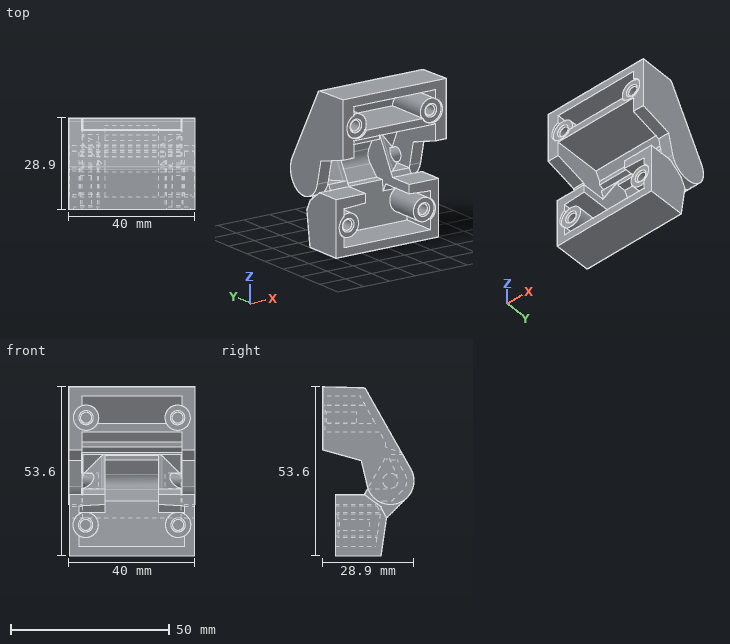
import cadquery as cq
import math


def tilt_vector(angle):
    """Unit vector in the YZ plane, as (y, z), raised by angle degrees from +Y toward +Z."""
    return math.cos(math.radians(angle)), math.sin(math.radians(angle))


def along(point, direction, distance):
    """Point reached by moving a distance from a (y, z) point."""
    return point[0] + distance * direction[0], point[1] + distance * direction[1]


def at_height(point, direction, z):
    """Point at height z on the (y, z) line through a point."""
    return along(point, direction, (z - point[1]) / direction[1])


def prism(outline, x_start, x_end):
    """Extrude a closed YZ outline along X between two stations."""
    return outline.extrude(x_end - x_start).translate((x_start, 0, 0))


def symmetric_prism(points, width):
    """Prism of a YZ polygon, centred on X = 0."""
    return prism(cq.Workplane("YZ").polyline(points).close(), -width / 2, width / 2)


barrel_radius = 7.5
back_tilt = 29.5
back_normal = tilt_vector(back_tilt)
back_slope = tilt_vector(90 + back_tilt)
back_tangent = along((0, 0), back_normal, barrel_radius)
inner_tilt = 28.7
inner_slope = tilt_vector(90 + inner_tilt)
pin_radius = 2.4
pin_end = 10.5

boss_radius = 4.0
boss_recess = 0.75
screw_hole_radius = 1.75
screw_hole_depth = 10.0
screw_hole_chamfer = 0.5

upper_width = 40.0
upper_front = -21.4
upper_top = 29.75
upper_face_height = 20.0
upper_bottom = upper_top - upper_face_height
upper_top_draft = 1.3
upper_corner_radius = 1.1
arm_corner = (-9.23, 6.35)
upper_cavity_width = 31.55
upper_frame = 3.0
upper_ceiling = upper_top - upper_frame
upper_wall_thickness = 3.0
upper_boss_spacing = 28.95
upper_boss_z = 19.95
rib_top = 18.07
rib_bottom = 15.43
wall_foot_top = 12.19
wall_foot_bottom = 10.66
wall_end_z = 8.8

lower_width = 39.6
lower_front = -17.35
lower_bottom = -23.8
lower_shelf = -4.35
lower_back_z = -11.8
lower_base_y = -2.93
lower_frame = 3.0
lower_wall_thickness = 2.15
lower_pocket_width = 33.35
lower_boss_spacing = 29.25
lower_boss_z = -13.95
arm_relief_edge = (-3.1, -8.1)
ledge_bottom_back = -10.1
ledge_bottom_inner = -7.46
ledge_bottom_outer = -7.95
ledge_gusset_tilt = 27.5

knuckle_width = 31.2
knuckle_top = 8.36
knuckle_foot = (-8.27, lower_shelf)
under_angle = 45.0
knuckle_front_tilt = 30.0
front_slope = tilt_vector(90 - knuckle_front_tilt)
channel_width = 16.9
channel_radius = 4.0
seat_center = (1.2, 0)
nose_bottom = 6.52
nose_top = 8.04
channel_step_z = -6.44

ramp_angle = 42.0
ramp_start = 9.6
recess_floor_z = -2.65
recess_roof_tilt = 25.0


def bosses(spacing, z, front, back):
    """A pair of round bosses running along Y."""
    return (
        cq.Workplane("XZ", origin=(0, back, z))
        .pushPoints([(-spacing / 2, 0), (spacing / 2, 0)])
        .circle(boss_radius)
        .extrude(back - front)
    )


def finish_bosses(leaf, spacing, z, front):
    """Sink the boss ends below the front face and drill chamfered blind holes in them."""
    boss_end = front + boss_recess
    for x in (-spacing / 2, spacing / 2):
        face = cq.Workplane("XZ", origin=(x, boss_end, z))
        hole = face.circle(screw_hole_radius).extrude(-screw_hole_depth)
        countersink = (
            face.circle(screw_hole_radius + screw_hole_chamfer)
            .workplane(offset=-screw_hole_chamfer)
            .circle(screw_hole_radius)
            .loft()
        )
        leaf = leaf.cut(face.circle(boss_radius).extrude(boss_recess)).cut(hole).cut(countersink)
    return leaf


def pins(outer):
    """Two coaxial pins, one at each end of the knuckle."""
    left = cq.Workplane("YZ", origin=(-outer, 0, 0)).circle(pin_radius).extrude(outer - pin_end)
    right = cq.Workplane("YZ", origin=(pin_end, 0, 0)).circle(pin_radius).extrude(outer - pin_end)
    return left, right


def upper_body():
    """Full-width side profile: front block, leaning back face and round arm ends."""
    corner_distance = math.hypot(*arm_corner)
    corner_angle = math.degrees(math.atan2(arm_corner[1], arm_corner[0]))
    tangent_angle = corner_angle + math.degrees(math.acos(barrel_radius / corner_distance))
    arm_tangent = along((0, 0), tilt_vector(tangent_angle), barrel_radius)
    top_slope = tilt_vector(-upper_top_draft)
    run = (
        (back_tangent[0] - upper_front) * top_slope[1] + (upper_top - back_tangent[1]) * top_slope[0]
    ) / (back_slope[1] * top_slope[0] - back_slope[0] * top_slope[1])
    top_corner = along(back_tangent, back_slope, run)
    outline = (
        cq.Workplane("YZ")
        .moveTo(upper_front, upper_top)
        .lineTo(*top_corner)
        .lineTo(*back_tangent)
        .threePointArc((0, -barrel_radius), arm_tangent)
        .lineTo(*arm_corner)
        .lineTo(upper_front, upper_bottom)
        .close()
    )
    body = prism(outline, -upper_width / 2, upper_width / 2)
    corner_edge = cq.selectors.NearestToPointSelector((0, *top_corner))
    return body.edges(corner_edge).fillet(upper_corner_radius)


def upper_cavity():
    """Space between the arms, open to the front and down past the end of the back wall."""
    wall_point = along(back_tangent, back_normal, -upper_wall_thickness)
    foot_top = at_height(wall_point, inner_slope, wall_foot_top)
    wall_end = at_height(back_tangent, back_slope, wall_end_z)
    clear = 2 * barrel_radius
    return symmetric_prism(
        [
            (upper_front, upper_ceiling),
            at_height(wall_point, inner_slope, upper_ceiling),
            foot_top,
            (foot_top[0], wall_foot_bottom),
            wall_end,
            (clear, wall_end_z),
            (clear, -clear),
            (upper_front, -clear),
        ],
        upper_cavity_width,
    )


def make_upper_leaf():
    body = upper_body()
    rib = symmetric_prism(
        [(upper_front, rib_bottom), (upper_front, rib_top), (0, rib_top), (0, rib_bottom)],
        upper_cavity_width,
    )
    boss_pair = bosses(upper_boss_spacing, upper_boss_z, upper_front, back_tangent[0])
    inside = rib.union(boss_pair).intersect(body)
    leaf = body.cut(upper_cavity()).union(inside)
    leaf = finish_bosses(leaf, upper_boss_spacing, upper_boss_z, upper_front)
    for pin in pins(upper_width / 2):
        leaf = leaf.union(pin)
    return leaf


under_tangent = along((0, 0), tilt_vector(-under_angle), barrel_radius)
lower_back = at_height(under_tangent, tilt_vector(90 - under_angle), lower_back_z)
lower_base = (lower_base_y, lower_bottom)
lower_back_length = math.dist(lower_back, lower_base)
lower_back_slope = (
    (lower_back[0] - lower_base[0]) / lower_back_length,
    (lower_back[1] - lower_base[1]) / lower_back_length,
)
lower_wall_point = along(lower_back, (-lower_back_slope[1], lower_back_slope[0]), lower_wall_thickness)
knuckle_tip = at_height(knuckle_foot, front_slope, knuckle_top)


def lower_block():
    return symmetric_prism(
        [
            (lower_front, lower_bottom),
            lower_base,
            lower_back,
            arm_relief_edge,
            knuckle_foot,
            (lower_front, lower_shelf),
        ],
        lower_width,
    )


def knuckle():
    """Barrel between the arms, carried up flush with the back of the upper leaf."""
    outline = (
        cq.Workplane("YZ")
        .moveTo(*knuckle_foot)
        .lineTo(*knuckle_tip)
        .lineTo(*at_height(back_tangent, back_slope, knuckle_top))
        .lineTo(*back_tangent)
        .threePointArc((barrel_radius, 0), under_tangent)
        .lineTo(*lower_back)
        .lineTo(*arm_relief_edge)
        .close()
    )
    return prism(outline, -knuckle_width / 2, knuckle_width / 2)


def channel():
    """Central channel with a round seat, open to the front."""
    roof_tangent = along(seat_center, tilt_vector(inner_tilt), channel_radius)
    seat_middle = along(seat_center, tilt_vector(0), channel_radius)
    ramp_tangent = along(seat_center, tilt_vector(-under_angle), channel_radius)
    nose_y = at_height(knuckle_foot, front_slope, nose_top)[0]
    outline = (
        cq.Workplane("YZ")
        .moveTo(lower_front, nose_top)
        .lineTo(nose_y, nose_top)
        .lineTo(nose_y, nose_bottom)
        .lineTo(*at_height(roof_tangent, inner_slope, nose_bottom))
        .lineTo(*roof_tangent)
        .threePointArc(seat_middle, ramp_tangent)
        .lineTo(*at_height(ramp_tangent, tilt_vector(90 - under_angle), channel_step_z))
        .lineTo(*at_height(lower_wall_point, lower_back_slope, channel_step_z))
        .lineTo(*at_height(lower_wall_point, lower_back_slope, lower_bottom + lower_frame))
        .lineTo(lower_front, lower_bottom + lower_frame)
        .close()
    )
    return prism(outline, -channel_width / 2, channel_width / 2)


def side_pocket():
    """Pocket under the right-hand ledge, whose underside drops slightly toward the side wall."""
    floor_z = lower_bottom + lower_frame
    wall_bottom = at_height(lower_wall_point, lower_back_slope, floor_z)
    wall_top = at_height(lower_wall_point, lower_back_slope, ledge_bottom_back)

    def section(ledge_z):
        gusset_top = at_height(wall_top, tilt_vector(90 + ledge_gusset_tilt), ledge_z)
        return [(lower_front, floor_z), wall_bottom, wall_top, gusset_top, (lower_front, ledge_z)]

    return (
        cq.Workplane("YZ", origin=(channel_width / 2, 0, 0))
        .polyline(section(ledge_bottom_inner))
        .close()
        .workplane(offset=(lower_pocket_width - channel_width) / 2)
        .polyline(section(ledge_bottom_outer))
        .close()
        .loft(ruled=True)
    )


def snap_recess():
    """Ramped recess in the right-hand end of the knuckle, exposing the pin to the front."""
    floor_edge = at_height(knuckle_foot, front_slope, recess_floor_z)
    roof_slope = tilt_vector(recess_roof_tilt - 90)
    roof_end = at_height(knuckle_tip, roof_slope, recess_floor_z)
    side_limit = symmetric_prism([floor_edge, knuckle_tip, roof_end], upper_width)
    turn = math.radians(ramp_angle)
    arc_start = channel_width / 2
    arc_radius = (ramp_start - arc_start) / math.sin(turn)
    arc_middle = (
        arc_start + arc_radius * math.sin(turn / 2),
        arc_radius * (1 - math.cos(turn / 2)),
    )
    arc_end = (ramp_start, arc_radius * (1 - math.cos(turn)))
    outer = upper_width / 2
    section_plane = cq.Plane(
        origin=(0, *knuckle_foot), xDir=(1, 0, 0), normal=(0, *front_slope)
    )
    ramp = (
        cq.Workplane(section_plane)
        .moveTo(arc_start, 0)
        .threePointArc(arc_middle, arc_end)
        .lineTo(outer, arc_end[1] + (outer - ramp_start) * math.tan(turn))
        .lineTo(outer, 0)
        .close()
        .extrude(math.dist(knuckle_foot, knuckle_tip))
    )
    return ramp.intersect(side_limit)


def make_lower_leaf():
    body = lower_block().union(knuckle())
    leaf = body.cut(channel())
    for feature in (side_pocket(), snap_recess()):
        leaf = leaf.cut(feature).cut(feature.mirror("YZ"))
    boss_pair = bosses(lower_boss_spacing, lower_boss_z, lower_front, lower_base_y)
    leaf = leaf.union(boss_pair.intersect(body))
    leaf = finish_bosses(leaf, lower_boss_spacing, lower_boss_z, lower_front)
    for pin in pins(upper_width / 2):
        leaf = leaf.cut(pin)
    return leaf


upper_leaf = make_upper_leaf()
lower_leaf = make_lower_leaf()

result = cq.Compound.makeCompound([upper_leaf.solids().val(), lower_leaf.solids().val()])